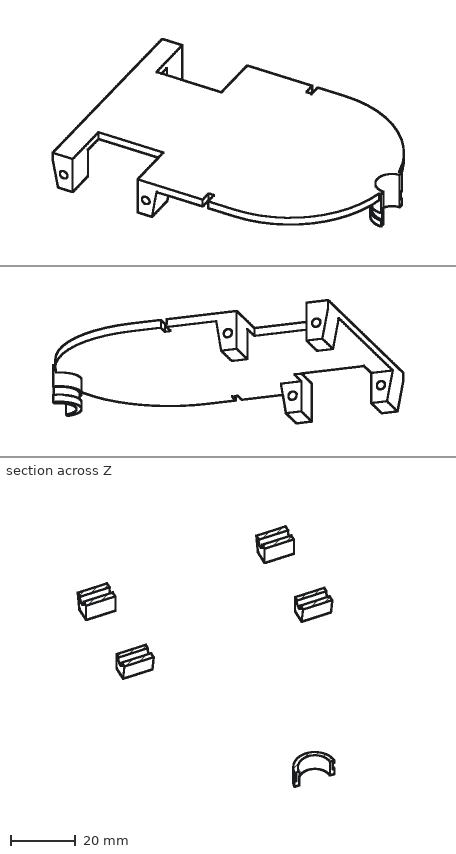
import cadquery as cq

length = 100.1
width = 70.7
half_width = width / 2
plate_thickness = 2.6

bar_width = 7.1
body_start = 30.0
opening_depth = 16.6

round_center_x = 64.6
slot_start = 53.1
slot_width = 1.9
slot_depth = 3.9

leg_width_y = 10.0
leg_bottom = -12.5
bar_leg_taper = 1.9
body_leg_top = 6.7
body_leg_foot = 5.1
hole_diameter = 2.7
hole_z = -7.0
hole_xs = (3.9, 32.9)

barrel_center_x = 100.3
barrel_center_y = 0.6
barrel_radius = 6.8
barrel_bottom = -12.2
groove_radius = 6.2
groove_top = -7.1
groove_bottom = -9.9
bore_radius = 5.2


def box(x_start, x_size, y_start, y_size, z_bottom, z_size):
    """Box placed by its lowest corner."""
    block = cq.Workplane("XY").box(x_size, y_size, z_size, centered=False)
    return block.translate((x_start, y_start, z_bottom))


def cylinder(radius, z_bottom, z_top):
    """Vertical cylinder on the barrel axis."""
    return (
        cq.Workplane("XY", origin=(barrel_center_x, barrel_center_y, z_bottom))
        .circle(radius)
        .extrude(z_top - z_bottom)
    )


def make_plate():
    """Flat plate with a semicircular end, side openings and edge slots."""
    plate = (
        cq.Workplane("XY", origin=(0, 0, -plate_thickness))
        .moveTo(0, -half_width)
        .lineTo(round_center_x, -half_width)
        .threePointArc((round_center_x + half_width, 0), (round_center_x, half_width))
        .lineTo(0, half_width)
        .close()
        .extrude(plate_thickness)
    )
    notches = (
        (bar_width, body_start - bar_width, opening_depth),
        (slot_start, slot_width, slot_depth),
    )
    for x_start, x_size, depth in notches:
        for y_start in (-half_width, half_width - depth):
            plate = plate.cut(box(x_start, x_size, y_start, depth, -plate_thickness, plate_thickness))
    return plate


def make_leg(profile, y_start):
    """Leg with an XZ profile, extruded toward +Y from y_start."""
    return cq.Workplane("XZ", origin=(0, y_start, 0)).polyline(profile).close().extrude(-leg_width_y)


def make_barrel():
    """Barrel with a groove around it, trimmed flat at the end of the part."""
    barrel = cylinder(barrel_radius, barrel_bottom, groove_bottom)
    barrel = barrel.union(cylinder(groove_radius, groove_bottom, groove_top))
    barrel = barrel.union(cylinder(barrel_radius, groove_top, 0))
    trim_width = 2 * barrel_radius
    trim_start = barrel_center_y - barrel_radius
    trim = box(length, trim_width, trim_start, trim_width, barrel_bottom, -barrel_bottom)
    return barrel.cut(trim)


bar_leg_profile = [
    (0, 0),
    (bar_width, 0),
    (bar_width, leg_bottom),
    (bar_leg_taper, leg_bottom),
    (0, -plate_thickness),
]
body_leg_profile = [
    (body_start, 0),
    (body_start + body_leg_top, 0),
    (body_start + body_leg_top, -plate_thickness),
    (body_start + body_leg_foot, leg_bottom),
    (body_start, leg_bottom),
]

result = make_plate().union(make_barrel())
for leg_profile in (bar_leg_profile, body_leg_profile):
    for leg_start in (-half_width, half_width - leg_width_y):
        result = result.union(make_leg(leg_profile, leg_start))

cross_holes = (
    cq.Workplane("XZ", origin=(0, half_width, 0))
    .pushPoints([(x, hole_z) for x in hole_xs])
    .circle(hole_diameter / 2)
    .extrude(width)
)
result = result.cut(cross_holes)

result = result.cut(cylinder(bore_radius, barrel_bottom, 0))